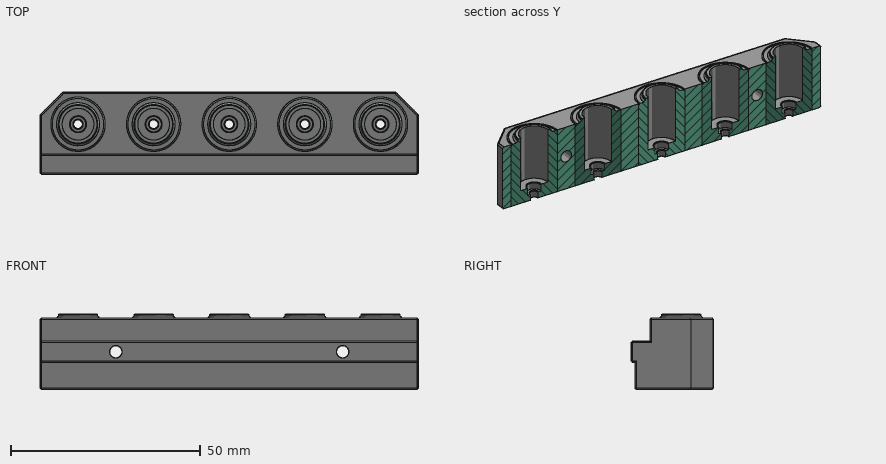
import cadquery as cq
length = 100.0
width = 21.8
block_height = 19.0
top_width = 16.8
base_width = 20.8
tongue_bottom = 7.2
tongue_top = 12.8
corner_cut = 6.0
edge_chamfer = 0.4

cross_hole_diameter = 3.2
cross_hole_spacing = 60.0
cross_hole_height = (tongue_bottom + tongue_top) / 2

bushing_count = 5
bushing_pitch = 20.0
bushing_to_back = 8.5
bushing_diameter = 14.4
rim_chamfer = 0.4

overall_height = 20.0
boss_diameter = 10.4
boss_flare = 0.5
boss_chamfer = 0.2

bore_diameter = 8.4
bore_floor = 4.0
step_diameter = 4.1
step_floor = 2.0
pilot_diameter = 2.3
hole_bevel = 0.2

back = width / 2
front = -width / 2
step_face = back - top_width
base_face = back - base_width
first_bushing_x = -(bushing_count - 1) / 2 * bushing_pitch
bushing_y = back - bushing_to_back
bushing_places = [(first_bushing_x + i * bushing_pitch, bushing_y) for i in range(bushing_count)]


def make_bar():
    """Bar with its section extruded along X, its back corners cut and its outer edges chamfered."""
    section = [
        (back, 0),
        (back, block_height),
        (step_face, block_height),
        (step_face, tongue_top),
        (front, tongue_top),
        (front, tongue_bottom),
        (base_face, tongue_bottom),
        (base_face, 0),
    ]
    bar = cq.Workplane("YZ").polyline(section).close().extrude(length / 2, both=True)
    bar = bar.edges("|Z and >Y").chamfer(corner_cut)

    outlines = bar.edges(">Z or <Z")
    tongue_edges = bar.faces("<Y").edges("|X")
    end_edges = bar.faces("<X or >X").edges("not(<Z or >Z or (|Z and >Y))")
    return outlines.add(tongue_edges).add(end_edges).chamfer(edge_chamfer)


def cross_holes():
    """Cutters for the holes that run through the block along Y."""
    half_spacing = cross_hole_spacing / 2
    return (
        cq.Workplane("XZ", origin=(0, back, cross_hole_height))
        .pushPoints([(-half_spacing, 0), (half_spacing, 0)])
        .circle(cross_hole_diameter / 2)
        .extrude(width)
    )


def bushing_sockets():
    """Cutters for the through holes that hold the bushings."""
    return cq.Workplane().pushPoints(bushing_places).circle(bushing_diameter / 2).extrude(block_height)


def make_block():
    return make_bar().cut(cross_holes()).cut(bushing_sockets())


def make_bushing(place):
    """Turned bushing, flush with the block except for a boss, with a stepped bore."""
    outer = bushing_diameter / 2
    boss = boss_diameter / 2
    bore = bore_diameter / 2
    step = step_diameter / 2
    pilot = pilot_diameter / 2

    half_section = [
        (pilot, 0),
        (outer, 0),
        (outer, block_height - rim_chamfer),
        (outer - rim_chamfer, block_height),
        (boss + boss_flare, block_height),
        (boss, block_height + boss_flare),
        (boss, overall_height - boss_chamfer),
        (boss - boss_chamfer, overall_height),
        (bore, overall_height),
        (bore, bore_floor),
        (step + hole_bevel, bore_floor),
        (step, bore_floor - hole_bevel),
        (step, step_floor),
        (pilot + hole_bevel, step_floor),
        (pilot, step_floor - hole_bevel),
    ]
    turned = cq.Workplane("XZ").polyline(half_section).close().revolve(360, (0, 0), (0, 1))
    x, y = place
    return turned.translate((x, y, 0))


block = make_block()
bushings = [make_bushing(place) for place in bushing_places]
result = cq.Compound.makeCompound([block.val(), *[bushing.val() for bushing in bushings]])